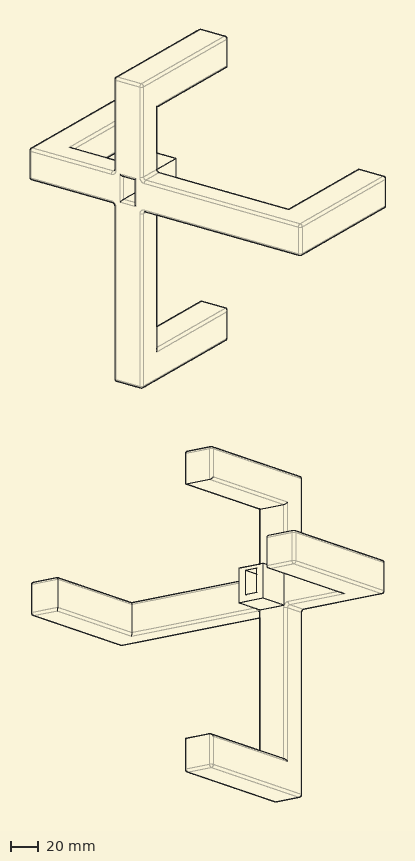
import cadquery as cq

bar_width = 25.0
bar_depth = 20.0
short_reach = 75.0
long_reach = 140.0
prong_length = 108.0

edge_radius = 2.0
crotch_radius = 2.0

boss_width = 22.0
boss_height = 26.0
boss_end = 45.0
boss_overhang = 0.75
window_width = 10.2
window_height = 18.2
window_rise = 1.5

half_bar = bar_width / 2
left_end = -half_bar - short_reach
right_end = half_bar + long_reach
top_end = half_bar + short_reach
bottom_end = -half_bar - long_reach


def block(x_range, y_range, z_range):
    """Box given by its (lower, upper) limits along each axis."""
    ranges = (x_range, y_range, z_range)
    size = [upper - lower for lower, upper in ranges]
    corner = tuple(lower for lower, upper in ranges)
    return cq.Workplane("XY").box(*size, centered=False).translate(corner)


def make_bare_frame():
    """Two crossed bars with a prong at each of the four ends, all edges sharp."""
    hub_range = (-half_bar, half_bar)
    bar_range = (0, bar_depth)
    prong_range = (0, prong_length)

    frame = block((left_end, right_end), bar_range, hub_range)
    frame = frame.union(block(hub_range, bar_range, (bottom_end, top_end)))
    for x_start in (left_end, right_end - bar_width):
        frame = frame.union(block((x_start, x_start + bar_width), prong_range, hub_range))
    for z_start in (bottom_end, top_end - bar_width):
        frame = frame.union(block(hub_range, prong_range, (z_start, z_start + bar_width)))
    return frame.clean()


def round_crotches(frame):
    """Fillet the four corners where the bars cross."""
    hub_region = cq.selectors.BoxSelector(
        (-bar_width, 0, -bar_width),
        (bar_width, bar_depth, bar_width),
    )
    return frame.edges("|Y").edges(hub_region).fillet(crotch_radius)


def round_edges(frame):
    """Fillet every edge but the root and tip edges of the prongs' inner faces."""
    inner_faces = (
        (left_end + bar_width, 0),
        (right_end - bar_width, 0),
        (0, bottom_end + bar_width),
        (0, top_end - bar_width),
    )
    rounded = frame.edges()
    for x, z in inner_faces:
        for y in (bar_depth, prong_length):
            sharp_edge = cq.selectors.NearestToPointSelector((x, y, z))
            rounded = rounded.edges(cq.selectors.InverseSelector(sharp_edge))
    return rounded.fillet(edge_radius)


def add_boss(body):
    """Join a plain block behind the hub, standing slightly above its upper side."""
    overlap_start = bar_depth / 2
    boss_top = half_bar + boss_overhang
    boss = block(
        (-boss_width / 2, boss_width / 2),
        (overlap_start, boss_end),
        (boss_top - boss_height, boss_top),
    )
    return body.union(boss)


def cut_window(body):
    """Cut the rectangular opening along Y and round its front rim."""
    half_width = window_width / 2
    window_bottom = window_rise - window_height / 2
    window_top = window_rise + window_height / 2
    window = block((-half_width, half_width), (0, boss_end), (window_bottom, window_top))

    margin = edge_radius / 2
    front_rim = cq.selectors.BoxSelector(
        (-half_width - margin, -margin, window_bottom - margin),
        (half_width + margin, margin, window_top + margin),
    )
    return body.cut(window).edges(front_rim).fillet(edge_radius)


frame = round_edges(round_crotches(make_bare_frame()))
result = cut_window(add_boss(frame))